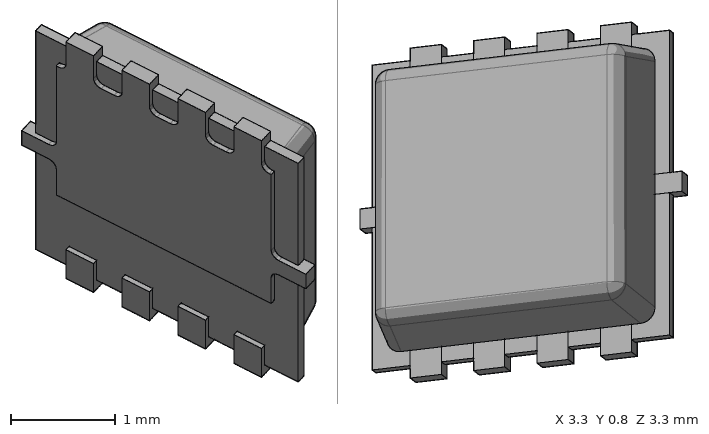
import cadquery as cq
import math

overall_span = 3.3
overall_height = 0.8
outer_edge = overall_span / 2

metal_thickness = 0.152
standoff = 0.053

lead_count = 4
lead_pitch = 0.65
lead_width = 0.32
lead_length = 0.403
lead_xs = [(i - (lead_count - 1) / 2) * lead_pitch for i in range(lead_count)]

pad_width = 2.495
pad_bottom_z = -0.55
pad_top_z = 1.247
tie_bar_width = 0.2
pad_corner_radius = 0.09

flange_width = 3.05
cap_base_width = 2.75
cap_draft = 10.0
cap_edge_radius = 0.15
cap_height = overall_height - metal_thickness
cap_top_width = cap_base_width - 2 * cap_height * math.tan(math.radians(cap_draft))


def block(width, x_center, z_bottom, z_top, y_front, y_back):
    """Rectangular block given by its width about x_center and its Z and Y limits."""
    corner = (x_center - width / 2, y_front, z_bottom)
    return cq.Workplane("XY").box(width, y_back - y_front, z_top - z_bottom, centered=False).translate(corner)


def make_lead(x_center):
    """One lead, sunk into the lower edge of the flange."""
    return block(lead_width, x_center, -outer_edge, -outer_edge + lead_length, 0, metal_thickness)


def make_drain_pad():
    """Pad with fingers along its upper edge and a tie bar on each side, rounded where they join it."""
    pad = block(pad_width, 0, pad_bottom_z, pad_top_z, 0, metal_thickness)
    pad = pad.union(block(overall_span, 0, -tie_bar_width / 2, tie_bar_width / 2, 0, metal_thickness))
    for x_center in lead_xs:
        pad = pad.union(block(lead_width, x_center, pad_bottom_z, outer_edge, 0, metal_thickness))

    mid_y = metal_thickness / 2
    finger_roots = [
        (x_center + side * lead_width / 2, mid_y, pad_top_z)
        for x_center in lead_xs
        for side in (-1, 1)
    ]
    tie_bar_roots = [
        (x_side * pad_width / 2, mid_y, z_side * tie_bar_width / 2)
        for x_side in (-1, 1)
        for z_side in (-1, 1)
    ]
    for root in finger_roots + tie_bar_roots:
        pad = pad.edges("|Y").edges(cq.selectors.NearestToPointSelector(root)).fillet(pad_corner_radius)
    return pad


def make_cap():
    """Drafted cap above the flange, with its sloping corners and top edges rounded."""
    cap = (
        cq.Workplane("XZ", origin=(0, metal_thickness, 0))
        .rect(cap_base_width, cap_base_width)
        .workplane(offset=-cap_height)
        .rect(cap_top_width, cap_top_width)
        .loft(ruled=True)
    )
    return cap.faces("not <Y").edges("not <Y").fillet(cap_edge_radius)


def make_housing(metal_bodies):
    """Flange and cap in one piece, with recesses that the metal bodies fill."""
    flange = block(flange_width, 0, -flange_width / 2, flange_width / 2, standoff, metal_thickness)
    housing = flange.union(make_cap())
    for body in metal_bodies:
        housing = housing.cut(body)
    return housing


leads = [make_lead(x_center) for x_center in lead_xs]
drain_pad = make_drain_pad()
housing = make_housing([drain_pad, *leads])

result = cq.Compound.makeCompound([
    housing.solids().val(),
    drain_pad.solids().val(),
    *[lead.val() for lead in leads],
])